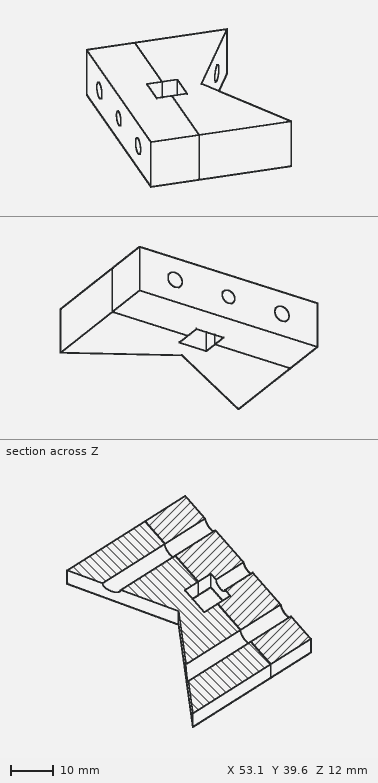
import cadquery as cq

length = 50.0
thickness = 12.0
base_depth = 12.0
side_depth = 35.0
notch_bottom = 20.6
window_size = 7.6
bolt_diameter = 4.0
bolt_spacing = 30.0
center_hole_diameter = 3.5
tilt = -5.5

half_length = length / 2
mid_height = thickness / 2


def cross_hole(x, diameter, depth):
    """Cylinder running inward along Y from the outer face of the base."""
    center = cq.Vector(x, 0, mid_height)
    return cq.Workplane(cq.Solid.makeCylinder(diameter / 2, depth, center, cq.Vector(0, 1, 0)))


def window():
    """Square opening through the thickness, shared equally by both bodies."""
    return (
        cq.Workplane("XY")
        .center(0, base_depth)
        .rect(window_size, window_size)
        .extrude(thickness)
    )


def cut_shared_openings(body):
    """Cut the window and the two bolt holes that cross both bodies."""
    body = body.cut(window())
    for x in (-bolt_spacing / 2, bolt_spacing / 2):
        body = body.cut(cross_hole(x, bolt_diameter, side_depth))
    return body


def turn(body):
    return body.rotate((0, 0, 0), (0, 0, 1), tilt)


def make_base():
    """Rectangular clamp bar with a central hole opening into the window."""
    bar = cq.Workplane("XY").box(length, base_depth, thickness, centered=(True, False, False))
    bar = cut_shared_openings(bar)
    return turn(bar.cut(cross_hole(0, center_hole_diameter, base_depth)))


def make_vee_jaw():
    """Jaw with a symmetric V across its whole far side."""
    outline = [
        (-half_length, base_depth),
        (half_length, base_depth),
        (half_length, side_depth),
        (0, notch_bottom),
        (-half_length, side_depth),
    ]
    jaw = cq.Workplane("XY").polyline(outline).close().extrude(thickness)
    return turn(cut_shared_openings(jaw))


base = make_base()
vee_jaw = make_vee_jaw()

result = cq.Compound.makeCompound([base.val(), vee_jaw.val()])